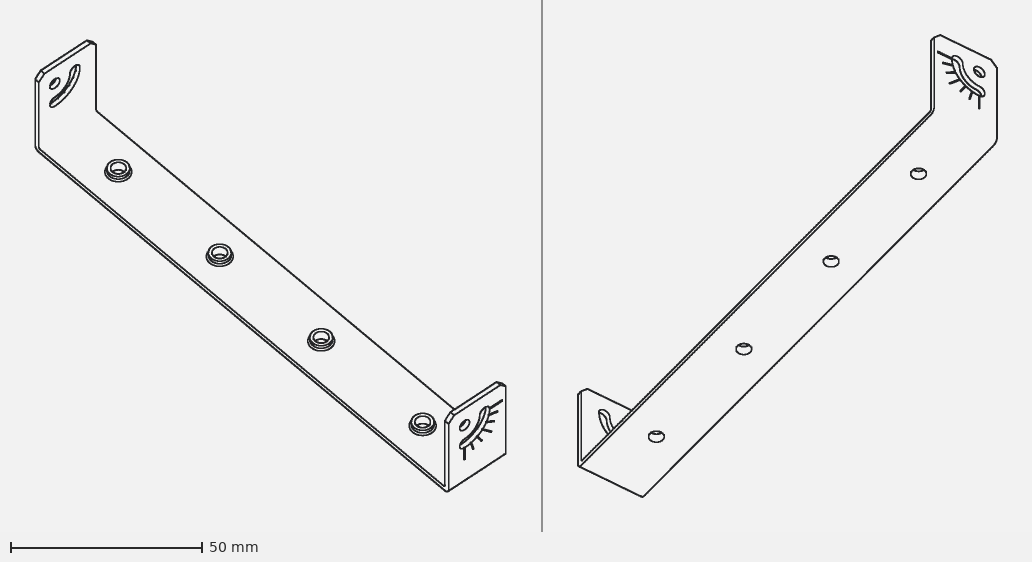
import cadquery as cq
import math

length = 163.0
width = 20.0
height = 29.0
sheet = 1.5
bend_inner_radius = 0.5
bend_outer_radius = sheet
corner_chamfer = 2.0

pivot_y = -4.4
pivot_z = 22.5
hole_diameter = 3.5
slot_radius = 7.0
slot_width = 3.5
slot_sweep = 90.0

tick_count = 7
tick_step = slot_sweep / (tick_count - 1)
major_every = 3
major_tick_radius = 13.2
minor_tick_radius = 11.9
tick_width = 0.25
tick_depth = 0.2

bush_count = 4
bush_row_length = 120.0
bush_pitch = bush_row_length / (bush_count - 1)
bush_height = 1.5
bush_diameter = 6.0
bush_base_flare = 0.5
bush_bore = 4.0


def folded_strip():
    """U-shaped strip with rounded bends and chamfered upper tab corners."""
    outer = (
        cq.Workplane("XY")
        .box(length, width, height, centered=(True, True, False))
        .edges("|Y and <Z")
        .fillet(bend_outer_radius)
        .edges("|X and >Z")
        .chamfer(corner_chamfer)
    )
    inside = (
        cq.Workplane("XY", origin=(0, 0, sheet))
        .box(length - 2 * sheet, width, height, centered=(True, True, False))
        .edges("|Y and <Z")
        .fillet(bend_inner_radius)
    )
    return outer.cut(inside)


def pivot_plane(x):
    """Plane facing +X with the pivot as origin; local x is +Y, local y is +Z."""
    return cq.Workplane("YZ", origin=(x, pivot_y, pivot_z))


def polar(radius, degrees):
    """Point at a radius and angle about the pivot."""
    angle = math.radians(degrees)
    return radius * math.cos(angle), radius * math.sin(angle)


def tab_openings():
    """Pivot hole and curved slot, running through both tabs."""
    start_x = -length / 2
    inner_radius = slot_radius - slot_width / 2
    outer_radius = slot_radius + slot_width / 2
    cap_radius = slot_width / 2
    mid_angle = -slot_sweep / 2
    hole = pivot_plane(start_x).circle(hole_diameter / 2).extrude(length)
    slot = (
        pivot_plane(start_x)
        .moveTo(outer_radius, 0)
        .threePointArc(polar(outer_radius, mid_angle), (0, -outer_radius))
        .threePointArc((-cap_radius, -slot_radius), (0, -inner_radius))
        .threePointArc(polar(inner_radius, mid_angle), (inner_radius, 0))
        .threePointArc((slot_radius, cap_radius), (outer_radius, 0))
        .close()
        .extrude(length)
    )
    return hole.union(slot)


def scale_ticks(floor_x):
    """Radial grooves, tick_depth deep in +X from floor_x."""
    ticks = cq.Workplane("YZ")
    for index in range(tick_count):
        is_major = index % major_every == 0
        end_radius = major_tick_radius if is_major else minor_tick_radius
        tick_length = end_radius - slot_radius
        tick = (
            pivot_plane(floor_x)
            .center(slot_radius + tick_length / 2, 0)
            .rect(tick_length, tick_width)
            .extrude(tick_depth)
            .rotate((0, pivot_y, pivot_z), (1, pivot_y, pivot_z), -index * tick_step)
        )
        ticks = ticks.add(tick)
    return ticks.combine()


bush_centres = [
    ((index - (bush_count - 1) / 2) * bush_pitch, 0) for index in range(bush_count)
]


def bushes():
    """Round bushes, each with a small conical flare where it meets the base."""
    base_plane = cq.Workplane("XY", origin=(0, 0, sheet)).pushPoints(bush_centres)
    barrels = base_plane.circle(bush_diameter / 2).extrude(bush_height)
    flares = base_plane.circle(bush_diameter / 2 + bush_base_flare).extrude(bush_base_flare, taper=45)
    return barrels.union(flares)


def bush_bores():
    """Plain bores through the bushes and the base."""
    return (
        cq.Workplane("XY")
        .pushPoints(bush_centres)
        .circle(bush_bore / 2)
        .extrude(sheet + bush_height)
    )


result = (
    folded_strip()
    .cut(tab_openings())
    .cut(scale_ticks(-length / 2))
    .cut(scale_ticks(length / 2 - tick_depth))
    .union(bushes())
    .cut(bush_bores())
)